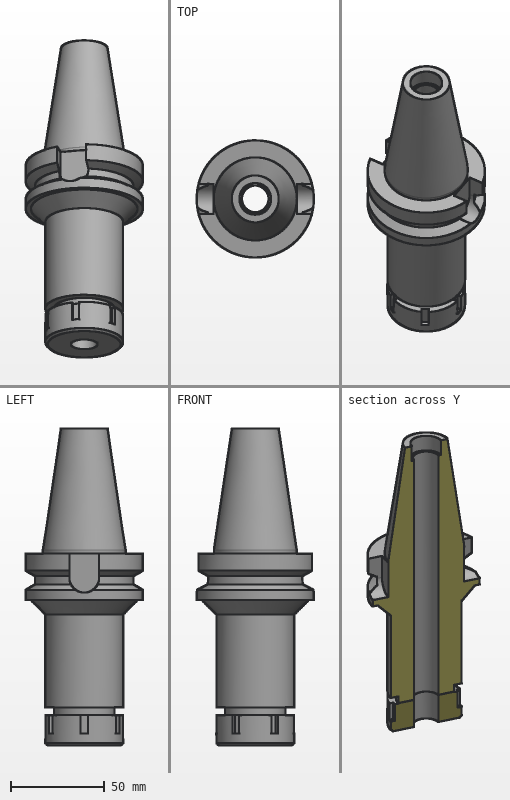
import cadquery as cq

overall_height = 170.4
taper_bottom_z = 105.0
flange_top_z = 103.1
groove_top_z = 93.9
groove_floor_top_z = 91.0
groove_floor_bottom_z = 86.5
groove_bottom_z = 83.7
flange_bottom_z = 78.0
shank_top_z = 70.4
shank_bottom_z = 20.5
nut_height = 16.4

taper_top_radius = 12.6
taper_bottom_radius = 22.3
flange_radius = 31.5
groove_radius = 26.5
shank_radius = 21.0
neck_radius = 16.4
cone_top_radius = shank_radius + (flange_bottom_z - shank_top_z)

bore_radius = 7.2
counterbore_radius = 8.5
counterbore_depth = 8.9

drive_slot_width = 16.0
drive_slot_floor = 22.5
drive_slot_bottom_z = 82.1

nut_radius = shank_radius
nut_chamfer = 1.4
nut_slot_count = 6
nut_slot_width = 4.0
nut_slot_floor = 18.5
nut_slot_bottom_z = 6.5


def make_drive_slot():
    """Cutter for the +X drive slot: open at the top, with a round lower end."""
    half_width = drive_slot_width / 2
    arc_center_z = drive_slot_bottom_z + half_width
    return (
        cq.Workplane("YZ", origin=(drive_slot_floor, 0, 0))
        .moveTo(-half_width, flange_top_z)
        .lineTo(-half_width, arc_center_z)
        .threePointArc((0, drive_slot_bottom_z), (half_width, arc_center_z))
        .lineTo(half_width, flange_top_z)
        .close()
        .extrude(flange_radius - drive_slot_floor)
    )


def make_holder():
    """Tapered tool holder with a grooved flange, shank and neck, bored through."""
    profile = [
        (0, nut_height),
        (neck_radius, nut_height),
        (neck_radius, shank_bottom_z),
        (shank_radius, shank_bottom_z),
        (shank_radius, shank_top_z),
        (cone_top_radius, flange_bottom_z),
        (flange_radius, flange_bottom_z),
        (flange_radius, groove_bottom_z),
        (groove_radius, groove_floor_bottom_z),
        (groove_radius, groove_floor_top_z),
        (flange_radius, groove_top_z),
        (flange_radius, flange_top_z),
        (taper_bottom_radius, flange_top_z),
        (taper_bottom_radius, taper_bottom_z),
        (taper_top_radius, overall_height),
        (0, overall_height),
    ]
    holder = cq.Workplane("XZ").polyline(profile).close().revolve(360, (0, 0, 0), (0, 1, 0))

    bore = cq.Workplane("XY").circle(bore_radius).extrude(overall_height)
    counterbore = (
        cq.Workplane("XY", origin=(0, 0, overall_height))
        .circle(counterbore_radius)
        .extrude(-counterbore_depth)
    )
    holder = holder.cut(bore).cut(counterbore)

    for angle in (0, 180):
        holder = holder.cut(make_drive_slot().rotate((0, 0, 0), (0, 0, 1), angle))
    return holder


def make_nut():
    """Ring nut below the neck, with wrench slots around its upper rim."""
    nut = cq.Workplane("XY").circle(nut_radius).extrude(nut_height)
    nut = nut.faces("<Z").edges().chamfer(nut_chamfer)
    nut = nut.cut(cq.Workplane("XY").circle(bore_radius).extrude(nut_height))

    slot = cq.Workplane("XY").box(
        nut_radius - nut_slot_floor,
        nut_slot_width,
        nut_height - nut_slot_bottom_z,
        centered=(False, True, False),
    ).translate((nut_slot_floor, 0, nut_slot_bottom_z))
    for index in range(nut_slot_count):
        angle = index * 360 / nut_slot_count
        nut = nut.cut(slot.rotate((0, 0, 0), (0, 0, 1), angle))
    return nut


holder = make_holder()
nut = make_nut()
result = cq.Compound.makeCompound([holder.val(), nut.val()])